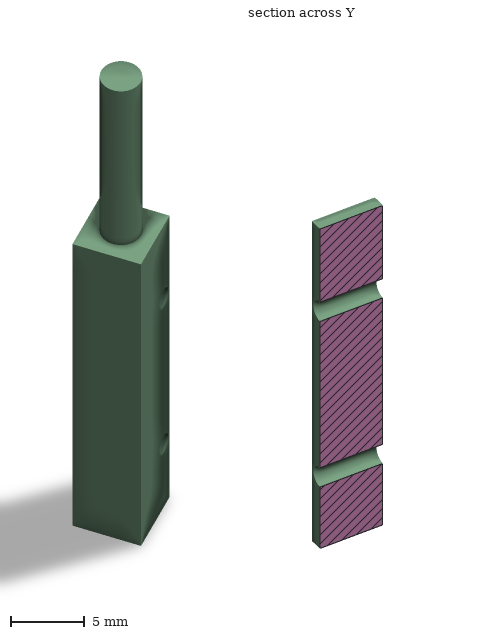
import cadquery as cq

total_height = 41.85
body_width = 5.0
body_height = 27.05

stem_diameter = 2.9
stem_height = total_height - body_height

hole_diameter = 1.6
hole_edge_distance = 1.0
lower_hole_height = 6.02
hole_spacing = 14.0


def make_body():
    """Square bar standing on the XY plane."""
    return cq.Workplane("XY").box(body_width, body_width, body_height, centered=(True, True, False))


def make_stem():
    """Cylinder rising from the centre of the body's top face."""
    return cq.Workplane("XY").workplane(offset=body_height).circle(stem_diameter / 2).extrude(stem_height)


def make_cross_holes():
    """Two cylinders that pass through the whole body along X."""
    hole_y = body_width / 2 - hole_edge_distance
    heights = (lower_hole_height, lower_hole_height + hole_spacing)
    return (
        cq.Workplane("YZ")
        .workplane(offset=-body_width / 2)
        .pushPoints([(hole_y, height) for height in heights])
        .circle(hole_diameter / 2)
        .extrude(body_width)
    )


result = make_body().union(make_stem()).cut(make_cross_holes())